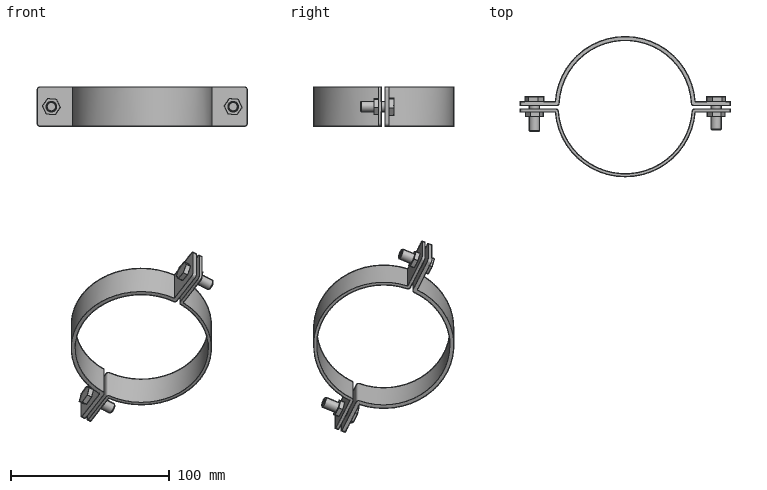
import cadquery as cq
import math

LENGTH = 132.7
WIDTH = 25.0
OUTER_RADIUS = 44.26
CORNER_RADIUS = 2.0
REAR_THICKNESS = 2.5
FRONT_THICKNESS = 2.0
REAR_SPLIT_Y = 0.7
FRONT_SPLIT_Y = -1.5
MOUTH_RADIUS = 1.6

BOLT_X = 57.3
SHANK_RADIUS = 3.3
TIP_CHAMFER = 0.7
HEAD_HEIGHT = 3.2
HEAD_CORNER_RADIUS = 6.04
HEAD_TILT = 6.6
NUT_HEIGHT = 2.8
NUT_CORNER_RADIUS = 5.64
NUT_TILT = -4.7
LEFT_TIP_Y = -15.8
RIGHT_TIP_Y = -14.7

REAR_LUG_Y = REAR_SPLIT_Y + REAR_THICKNESS
FRONT_LUG_Y = FRONT_SPLIT_Y - FRONT_THICKNESS


def cylinder_y(radius, start_y, end_y, x):
    """Cylinder along Y between two Y positions."""
    axis = cq.Vector(0, math.copysign(1, end_y - start_y), 0)
    solid = cq.Solid.makeCylinder(radius, abs(end_y - start_y), cq.Vector(x, start_y, 0), axis)
    return cq.Workplane(obj=solid)


def hexagon(corner_radius, start_y, end_y, x, tilt):
    """Hexagonal prism along Y, tilted counterclockwise when seen from -Y."""
    prism = (
        cq.Workplane("XZ", origin=(0, start_y, 0))
        .polygon(6, 2 * corner_radius)
        .extrude(start_y - end_y)
    )
    return prism.rotate((0, 0, 0), (0, 1, 0), -tilt).translate((x, 0, 0))


def half_band(split_y, side, thickness):
    """Half ring with two drilled lugs; side is +1 for the rear half, -1 for the front."""
    lug_y = split_y + side * thickness
    bore_radius = OUTER_RADIUS - thickness
    disc = cq.Workplane("XY").circle(OUTER_RADIUS).extrude(WIDTH / 2, both=True)
    kept_side = cq.Workplane("XY").box(LENGTH, LENGTH, WIDTH).translate((0, split_y + side * LENGTH / 2, 0))
    lugs = (
        cq.Workplane("XY")
        .box(LENGTH, thickness, WIDTH)
        .edges("|Y")
        .fillet(CORNER_RADIUS)
        .translate((0, (split_y + lug_y) / 2, 0))
    )
    bore = cq.Workplane("XY").circle(bore_radius).extrude(WIDTH, both=True)
    band = disc.intersect(kept_side).union(lugs).cut(bore)

    mouth_x = math.sqrt(bore_radius**2 - split_y**2)
    for x in (-mouth_x, mouth_x):
        mouth_edge = cq.selectors.NearestToPointSelector((x, split_y, 0))
        band = band.edges("|Z").edges(mouth_edge).fillet(MOUTH_RADIUS)
    for x in (-BOLT_X, BOLT_X):
        band = band.cut(cylinder_y(SHANK_RADIUS, REAR_LUG_Y, FRONT_LUG_Y, x))
    return band.solids().val()


def bolt(x, tip_y, head_tilt):
    """Hex bolt joined with its nut, clamping the two lugs."""
    shank = cylinder_y(SHANK_RADIUS, REAR_LUG_Y, tip_y, x).faces("<Y").chamfer(TIP_CHAMFER)
    head = hexagon(HEAD_CORNER_RADIUS, REAR_LUG_Y + HEAD_HEIGHT, REAR_LUG_Y, x, head_tilt)
    nut = hexagon(NUT_CORNER_RADIUS, FRONT_LUG_Y, FRONT_LUG_Y - NUT_HEIGHT, x, NUT_TILT)
    return shank.union(head).union(nut).solids().val()


rear_half = half_band(REAR_SPLIT_Y, 1, REAR_THICKNESS)
front_half = half_band(FRONT_SPLIT_Y, -1, FRONT_THICKNESS)
bolts = [
    bolt(x, tip_y, head_tilt)
    for x, tip_y, head_tilt in (
        (-BOLT_X, LEFT_TIP_Y, HEAD_TILT),
        (BOLT_X, RIGHT_TIP_Y, -HEAD_TILT),
    )
]

result = cq.Compound.makeCompound([rear_half, front_half, *bolts])